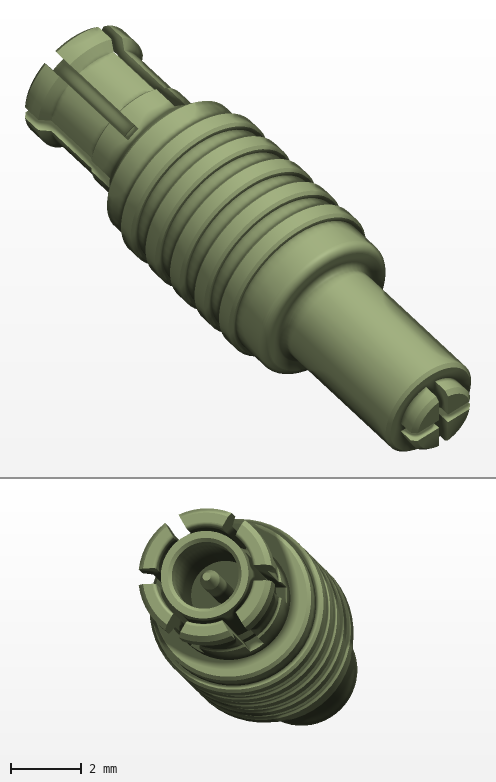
import cadquery as cq

length = 16.55

body_start = 4.2
body_end = 11.29
body_radius = 2.3
body_front_chamfer = 0.1
body_rear_round = 0.25

rib_count = 5
rib_radius = 2.5
rib_start = 5.1
rib_end = 10.08
rib_width = 0.6
rib_pitch = (rib_end - rib_width - rib_start) / (rib_count - 1)
rib_chamfer = 0.08

tail_end = 15.97
tail_radius = 1.55
tail_root_fillet = 0.18
tail_chamfer = 0.1

ferrule_radius = 1.1
ferrule_chamfer = 0.13
ferrule_slot_width = 0.33

finger_count = 6
finger_slot_width = 0.45
finger_slot_end = 3.7
finger_bore_radius = 1.4
finger_mouth_round = 0.1
lip_radius = 1.92
lip_chamfer = 0.15
lip_end = 0.75
neck_start = 1.01
neck_radius = 1.65
collar_start = 2.81
collar_radius = 1.72

sleeve_start = 0.07
sleeve_radius = 1.25
sleeve_bore_radius = 0.96
sleeve_bore_chamfer = 0.1
sleeve_step_start = 3.26
sleeve_step_length = 0.1
sleeve_step_end = sleeve_step_start + sleeve_step_length
sleeve_floor = sleeve_step_start

contact_start = 0.38
contact_radius = 0.28
contact_tip_radius = 0.12
contact_taper = 0.53


def turn(profile):
    """Revolve a closed profile, drawn as X against radius, about the X axis."""
    return profile.close().revolve(360, (0, 0, 0), (1, 0, 0))


def chamfered_rod(start, end, radius, start_chamfer=0.0, end_chamfer=0.0):
    """Cylinder along X, optionally chamfered at its two ends."""
    rod = cq.Workplane("YZ", origin=(start, 0, 0)).circle(radius).extrude(end - start)
    if start_chamfer:
        rod = rod.faces("<X").chamfer(start_chamfer)
    if end_chamfer:
        rod = rod.faces(">X").chamfer(end_chamfer)
    return rod


def make_body_and_tail():
    profile = (
        cq.Workplane("XY")
        .moveTo(body_start, 0)
        .lineTo(body_start, body_radius - body_front_chamfer)
        .lineTo(body_start + body_front_chamfer, body_radius)
        .lineTo(body_end - body_rear_round, body_radius)
        .radiusArc((body_end, body_radius - body_rear_round), body_rear_round)
        .lineTo(body_end, tail_radius + tail_root_fillet)
        .radiusArc((body_end + tail_root_fillet, tail_radius), -tail_root_fillet)
        .lineTo(tail_end - tail_chamfer, tail_radius)
        .lineTo(tail_end, tail_radius - tail_chamfer)
        .lineTo(tail_end, 0)
    )
    return turn(profile)


def make_rib(index):
    start = rib_start + index * rib_pitch
    return chamfered_rod(start, start + rib_width, rib_radius, rib_chamfer, rib_chamfer)


def make_ferrule():
    ferrule = chamfered_rod(tail_end, length, ferrule_radius, end_chamfer=ferrule_chamfer)
    depth = length - tail_end
    middle = (tail_end + length) / 2
    slot = cq.Workplane("XY").box(depth, 2 * ferrule_radius, ferrule_slot_width)
    for angle in (0, 90):
        ferrule = ferrule.cut(slot.rotate((0, 0, 0), (1, 0, 0), angle).translate((middle, 0, 0)))
    return ferrule


def make_fingers():
    profile = (
        cq.Workplane("XY")
        .moveTo(0, finger_bore_radius + finger_mouth_round)
        .lineTo(0, lip_radius - lip_chamfer)
        .lineTo(lip_chamfer, lip_radius)
        .lineTo(lip_end, lip_radius)
        .lineTo(neck_start, neck_radius)
        .lineTo(collar_start, neck_radius)
        .lineTo(collar_start + collar_radius - neck_radius, collar_radius)
        .lineTo(body_start, collar_radius)
        .lineTo(body_start, finger_bore_radius)
        .lineTo(finger_mouth_round, finger_bore_radius)
        .radiusArc((0, finger_bore_radius + finger_mouth_round), finger_mouth_round)
    )
    fingers = turn(profile)
    slot = cq.Workplane("XY").box(
        finger_slot_end, lip_radius, finger_slot_width, centered=(False, False, True)
    )
    for index in range(finger_count):
        fingers = fingers.cut(slot.rotate((0, 0, 0), (1, 0, 0), index * 360 / finger_count))
    return fingers


def make_sleeve():
    profile = (
        cq.Workplane("XY")
        .moveTo(sleeve_start, sleeve_bore_radius + sleeve_bore_chamfer)
        .lineTo(sleeve_start, sleeve_radius)
        .lineTo(sleeve_step_start, sleeve_radius)
        .lineTo(sleeve_step_end, finger_bore_radius)
        .lineTo(body_start, finger_bore_radius)
        .lineTo(body_start, 0)
        .lineTo(sleeve_floor, 0)
        .lineTo(sleeve_floor, sleeve_bore_radius)
        .lineTo(sleeve_start + sleeve_bore_chamfer, sleeve_bore_radius)
    )
    return turn(profile)


def make_contact():
    profile = (
        cq.Workplane("XY")
        .moveTo(contact_start, 0)
        .lineTo(contact_start, contact_tip_radius)
        .lineTo(contact_start + contact_taper, contact_radius)
        .lineTo(sleeve_floor, contact_radius)
        .lineTo(sleeve_floor, 0)
    )
    return turn(profile)


result = make_body_and_tail()
for rib_index in range(rib_count):
    result = result.union(make_rib(rib_index))
for section in (make_ferrule(), make_sleeve(), make_fingers(), make_contact()):
    result = result.union(section)